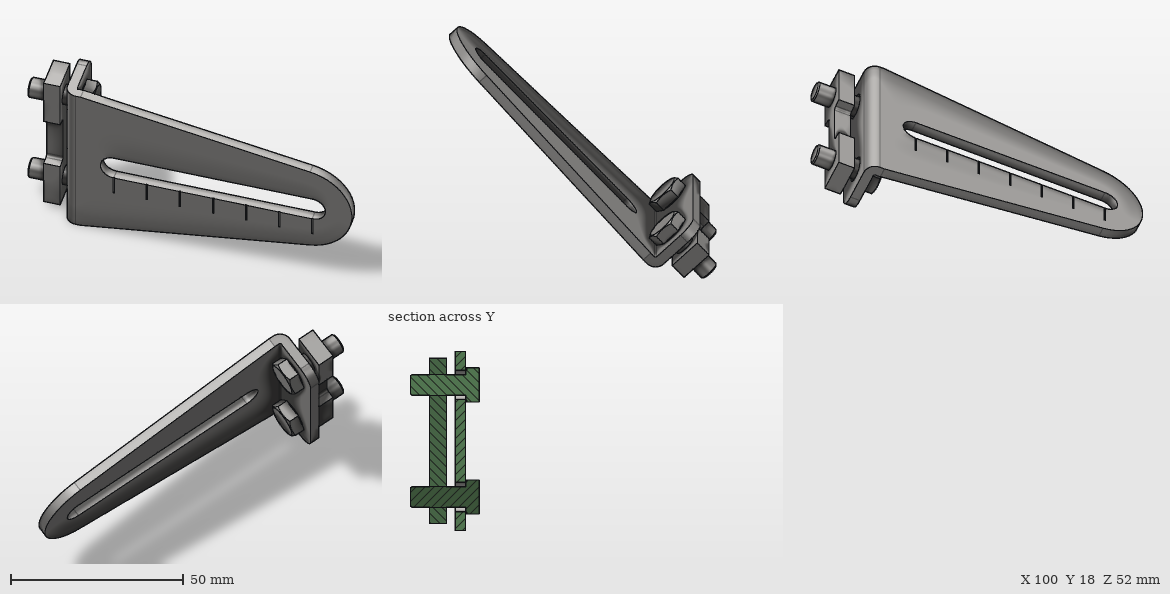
import cadquery as cq
import math

SHEET = 3.0
BRACKET_HEIGHT = 52.0
FLANGE_DEPTH = 18.0
FLANGE_CORNER_RADIUS = 5.0
FLANGE_SLOT_WIDTH = 6.2
FLANGE_SLOT_LENGTH = 8.5
BEND_INNER_RADIUS = 0.5
BEND_OUTER_RADIUS = BEND_INNER_RADIUS + SHEET
ARM_LENGTH = 87.0
ARM_END_RADIUS = 15.0
TAPER_START_X = 5.0

SLOT_WIDTH = 8.0
SLOT_START_X = 15.0
SLOT_TRAVEL = 60.0
MARK_COUNT = 7
MARK_PITCH = SLOT_TRAVEL / (MARK_COUNT - 1)
MARK_LENGTH = 6.0
MARK_WIDTH = 0.4
MARK_DEPTH = 0.2

BOLT_DIAMETER = 6.0
BOLT_LENGTH = 16.0
BOLT_TIP_DIAMETER = 5.2
BOLT_TIP_CHAMFER = (BOLT_DIAMETER - BOLT_TIP_DIAMETER) / 2
BOLT_Y = 9.5
BOLT_SPACING = 32.5
HEAD_ACROSS_FLATS = 10.0
HEAD_ACROSS_CORNERS = HEAD_ACROSS_FLATS / math.cos(math.radians(30))
HEAD_HEIGHT = 4.0
HEAD_FACE_DIAMETER = 9.5
HEAD_CHAMFER_ANGLE = 30.0
WASHER_FACE_DIAMETER = 9.0
WASHER_FACE_HEIGHT = 0.3
BOLT_HEIGHTS = (-BOLT_SPACING / 2, BOLT_SPACING / 2)

CLAMP_THICKNESS = 5.0
CLAMP_GAP = 2.5
CLAMP_WIDTH = 10.0
CLAMP_HEIGHT = 48.0
WAIST_WIDTH = 4.0
WAIST_HEIGHT = 16.0
NOTCH_MOUTH_HEIGHT = 17.0
WAIST_FILLET = 1.0


def bolt_positions(start_x):
    """Workplane across X with a point at each bolt axis."""
    return cq.Workplane("YZ", origin=(start_x, BOLT_Y, 0)).pushPoints([(0, z) for z in BOLT_HEIGHTS])


def bent_sheet():
    """L-shaped sheet section with a rounded bend, over the full height."""
    return (
        cq.Workplane("XY", origin=(0, 0, -BRACKET_HEIGHT / 2))
        .moveTo(0, FLANGE_DEPTH)
        .lineTo(0, BEND_OUTER_RADIUS)
        .radiusArc((BEND_OUTER_RADIUS, 0), -BEND_OUTER_RADIUS)
        .lineTo(ARM_LENGTH, 0)
        .lineTo(ARM_LENGTH, SHEET)
        .lineTo(BEND_OUTER_RADIUS, SHEET)
        .radiusArc((SHEET, BEND_OUTER_RADIUS), BEND_INNER_RADIUS)
        .lineTo(SHEET, FLANGE_DEPTH)
        .close()
        .extrude(BRACKET_HEIGHT)
    )


def arm_outline():
    """Prism along Y: straight at the bend, tapering tangentially into the round end."""
    half_height = BRACKET_HEIGHT / 2
    end_centre_x = ARM_LENGTH - ARM_END_RADIUS
    run = end_centre_x - TAPER_START_X
    reach = math.hypot(run, half_height)
    taper = math.atan2(half_height, run) - math.asin(ARM_END_RADIUS / reach)
    tangent_x = end_centre_x + ARM_END_RADIUS * math.sin(taper)
    tangent_z = ARM_END_RADIUS * math.cos(taper)
    return (
        cq.Workplane("XZ")
        .moveTo(0, -half_height)
        .lineTo(TAPER_START_X, -half_height)
        .lineTo(tangent_x, -tangent_z)
        .threePointArc((ARM_LENGTH, 0), (tangent_x, tangent_z))
        .lineTo(TAPER_START_X, half_height)
        .lineTo(0, half_height)
        .close()
        .extrude(-FLANGE_DEPTH)
    )


def slot_cutter():
    return (
        cq.Workplane("XZ")
        .center(SLOT_START_X + SLOT_TRAVEL / 2, 0)
        .slot2D(SLOT_TRAVEL + SLOT_WIDTH, SLOT_WIDTH)
        .extrude(-SHEET)
    )


def mark_cutters():
    """Shallow grooves on the arm's front face, running down from the slot edge."""
    groove_length = SLOT_WIDTH / 2 + MARK_LENGTH
    positions = [(SLOT_START_X + i * MARK_PITCH, -groove_length / 2) for i in range(MARK_COUNT)]
    return (
        cq.Workplane("XZ")
        .pushPoints(positions)
        .rect(MARK_WIDTH, groove_length)
        .extrude(-MARK_DEPTH)
    )


def make_bracket():
    sheet = bent_sheet().intersect(arm_outline())
    sheet = sheet.edges("|X and >Y").fillet(FLANGE_CORNER_RADIUS)
    sheet = sheet.cut(slot_cutter()).cut(mark_cutters())
    bolt_slots = bolt_positions(0).slot2D(FLANGE_SLOT_LENGTH, FLANGE_SLOT_WIDTH, 90).extrude(SHEET)
    return sheet.cut(bolt_slots)


def make_bolt(z):
    """Hexagon bolt pointing to -X, its head seated on the flange's inner face."""
    shank = (
        cq.Workplane("YZ", origin=(SHEET, BOLT_Y, z))
        .circle(BOLT_DIAMETER / 2)
        .extrude(-BOLT_LENGTH)
        .faces("<X")
        .chamfer(BOLT_TIP_CHAMFER)
    )
    hexagon = (
        cq.Workplane("YZ", origin=(SHEET + WASHER_FACE_HEIGHT, BOLT_Y, z))
        .polygon(6, HEAD_ACROSS_CORNERS)
        .extrude(HEAD_HEIGHT - WASHER_FACE_HEIGHT)
    )
    washer_face = (
        cq.Workplane("YZ", origin=(SHEET, BOLT_Y, z))
        .circle(WASHER_FACE_DIAMETER / 2)
        .extrude(WASHER_FACE_HEIGHT)
    )
    corner_radius = HEAD_ACROSS_CORNERS / 2
    face_radius = HEAD_FACE_DIAMETER / 2
    chamfer_height = (corner_radius - face_radius) * math.tan(math.radians(HEAD_CHAMFER_ANGLE))
    blank = (
        cq.Workplane("XY", origin=(SHEET, BOLT_Y, z))
        .lineTo(0, corner_radius)
        .lineTo(HEAD_HEIGHT - chamfer_height, corner_radius)
        .lineTo(HEAD_HEIGHT, face_radius)
        .lineTo(HEAD_HEIGHT, 0)
        .close()
        .revolve(360, (0, 0), (1, 0))
    )
    return shank.union(washer_face).union(hexagon.intersect(blank))


def make_clamp_plate():
    start_x = -CLAMP_GAP - CLAMP_THICKNESS
    plate = (
        cq.Workplane("YZ", origin=(start_x, BOLT_Y, 0))
        .rect(CLAMP_WIDTH, CLAMP_HEIGHT)
        .extrude(CLAMP_THICKNESS)
    )
    for side, waist_side in ((-1, ">Y"), (1, "<Y")):
        notch = (
            cq.Workplane("YZ", origin=(start_x, BOLT_Y, 0))
            .moveTo(side * WAIST_WIDTH / 2, -WAIST_HEIGHT / 2)
            .lineTo(side * CLAMP_WIDTH / 2, -NOTCH_MOUTH_HEIGHT / 2)
            .lineTo(side * CLAMP_WIDTH / 2, NOTCH_MOUTH_HEIGHT / 2)
            .lineTo(side * WAIST_WIDTH / 2, WAIST_HEIGHT / 2)
            .close()
            .extrude(CLAMP_THICKNESS)
            .edges("|X and " + waist_side)
            .fillet(WAIST_FILLET)
        )
        plate = plate.cut(notch)
    bolt_holes = bolt_positions(start_x).circle(BOLT_DIAMETER / 2).extrude(CLAMP_THICKNESS)
    return plate.cut(bolt_holes)


bracket = make_bracket()
clamp_plate = make_clamp_plate()
bolts = [make_bolt(z) for z in BOLT_HEIGHTS]

result = cq.Compound.makeCompound(
    [bracket.val(), clamp_plate.val(), *[bolt.val() for bolt in bolts]]
)